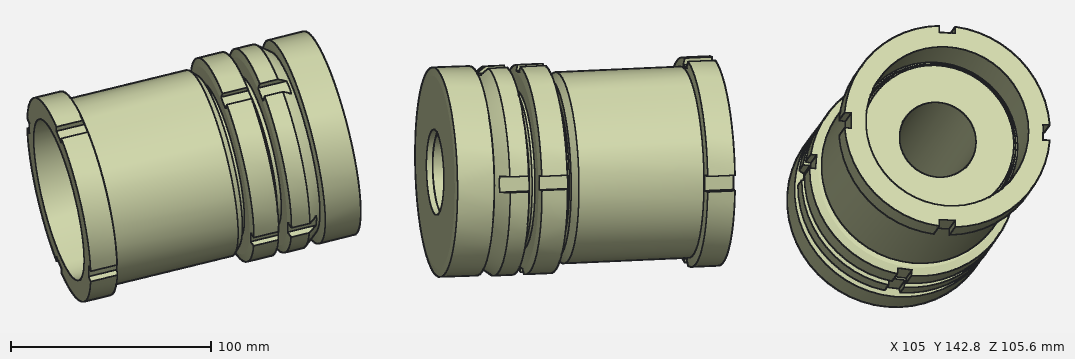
import cadquery as cq
import math

rim_radius = 52.5
thread_radius = 40.0
edge_length = 1.0
edge_depth = 4.1

flange_thickness = 15.0
barrel_radius = 48.0
base_length = 82.0
barrel_chamfer = 3.3
counterbore_depth = 27.0
thread_entry_chamfer = 0.5
counterbore_radius = 41.5

spindle_front = 23.4
thread_chamfer = 1.1
neck_radius = thread_radius - thread_chamfer
thread_end = 101.0
bore_radius = 19.5
head_front = 104.3
head_rim_end = 114.9
dome_center = 79.0
dome_radius = math.hypot(rim_radius, head_rim_end - dome_center)

nut_front = 84.6
nut_thickness = 15.0

ring_front = 122.0
ring_thickness = 20.3
ring_back_edge_length = 0.5
ring_bore_radius = 21.4
ring_tilt = 0.55

slot_count = 4
slot_floor_radius = 49.0
slot_width = 8.0
nut_slot_width = 7.1
nut_slot_floor_radius = 49.5
slot_turn = 4.6


def dome_y(radius):
    """Y of the dome surface at a distance from the axis."""
    return dome_center + math.sqrt(dome_radius**2 - radius**2)


def dome_radius_at(y):
    """Distance from the axis of the dome surface at a given Y."""
    return math.sqrt(dome_radius**2 - (y - dome_center) ** 2)


def dome_point_between(radius_a, radius_b):
    """Dome profile point midway in radius, used to draw the dome arc."""
    radius = (radius_a + radius_b) / 2
    return (radius, dome_y(radius))


def turn(outline):
    """Revolve a closed (radius, Y) outline about the Y axis."""
    return outline.close().revolve(360, (0, 0, 0), (0, 1, 0))


def cut_spanner_slots(body, front, back, width, floor_radius, turn_angle):
    """Cut the ring of axial slots into the rim between two Y positions."""
    height = rim_radius
    slot = cq.Workplane("XY").box(width, back - front, height, centered=(True, False, False))
    slot = slot.translate((0, front, floor_radius))
    for i in range(slot_count):
        angle = turn_angle + i * 360 / slot_count
        body = body.cut(slot.rotate((0, 0, 0), (0, 1, 0), angle))
    return body


def make_base():
    """Flanged barrel, threaded inside, with a counterbore open at the front."""
    outline = (
        cq.Workplane("XY")
        .moveTo(counterbore_radius, 0)
        .lineTo(rim_radius, 0)
        .lineTo(rim_radius, flange_thickness - edge_length)
        .lineTo(rim_radius - edge_depth, flange_thickness)
        .lineTo(barrel_radius, flange_thickness)
        .lineTo(barrel_radius, base_length - barrel_chamfer)
        .lineTo(barrel_radius - barrel_chamfer, base_length)
        .lineTo(thread_radius, base_length)
        .lineTo(thread_radius, counterbore_depth + thread_entry_chamfer)
        .lineTo(thread_radius + thread_entry_chamfer, counterbore_depth)
        .lineTo(counterbore_radius, counterbore_depth)
    )
    return cut_spanner_slots(turn(outline), 0, flange_thickness, slot_width, slot_floor_radius, 0)


def make_spindle():
    """Hollow threaded spindle with an undercut neck and a domed, slotted head."""
    outline = (
        cq.Workplane("XY")
        .moveTo(bore_radius, spindle_front)
        .lineTo(neck_radius, spindle_front)
        .lineTo(thread_radius, spindle_front + thread_chamfer)
        .lineTo(thread_radius, thread_end)
        .lineTo(neck_radius, thread_end + thread_chamfer)
        .lineTo(neck_radius, head_front)
        .lineTo(rim_radius - edge_depth, head_front)
        .lineTo(rim_radius, head_front + edge_length)
        .lineTo(rim_radius, head_rim_end)
        .threePointArc(dome_point_between(rim_radius, bore_radius), (bore_radius, dome_y(bore_radius)))
    )
    dome_top = dome_y(bore_radius)
    return cut_spanner_slots(turn(outline), head_front, dome_top, slot_width, slot_floor_radius, slot_turn)


def make_lock_nut():
    """Slotted ring nut on the spindle thread."""
    nut_back = nut_front + nut_thickness
    outline = (
        cq.Workplane("XY")
        .moveTo(thread_radius, nut_front)
        .lineTo(rim_radius - edge_depth, nut_front)
        .lineTo(rim_radius, nut_front + edge_length)
        .lineTo(rim_radius, nut_back - edge_length)
        .lineTo(rim_radius - edge_depth, nut_back)
        .lineTo(thread_radius, nut_back)
    )
    return cut_spanner_slots(turn(outline), nut_front, nut_back, nut_slot_width, nut_slot_floor_radius, slot_turn)


def make_seat_ring():
    """Ring with a spherical seat, swivelled slightly on the dome of the spindle head."""
    ring_back = ring_front + ring_thickness
    seat_radius = dome_radius_at(ring_front)
    outline = (
        cq.Workplane("XY")
        .moveTo(seat_radius, ring_front)
        .lineTo(rim_radius - edge_depth, ring_front)
        .lineTo(rim_radius, ring_front + edge_length)
        .lineTo(rim_radius, ring_back - ring_back_edge_length)
        .lineTo(rim_radius - edge_depth, ring_back)
        .lineTo(ring_bore_radius, ring_back)
        .lineTo(ring_bore_radius, dome_y(ring_bore_radius))
        .threePointArc(dome_point_between(ring_bore_radius, seat_radius), (seat_radius, ring_front))
    )
    return turn(outline).rotate((0, dome_center, 0), (1, dome_center, 0), ring_tilt)


base = make_base()
spindle = make_spindle()
lock_nut = make_lock_nut()
seat_ring = make_seat_ring()

result = cq.Compound.makeCompound([base.val(), spindle.val(), lock_nut.val(), seat_ring.val()])